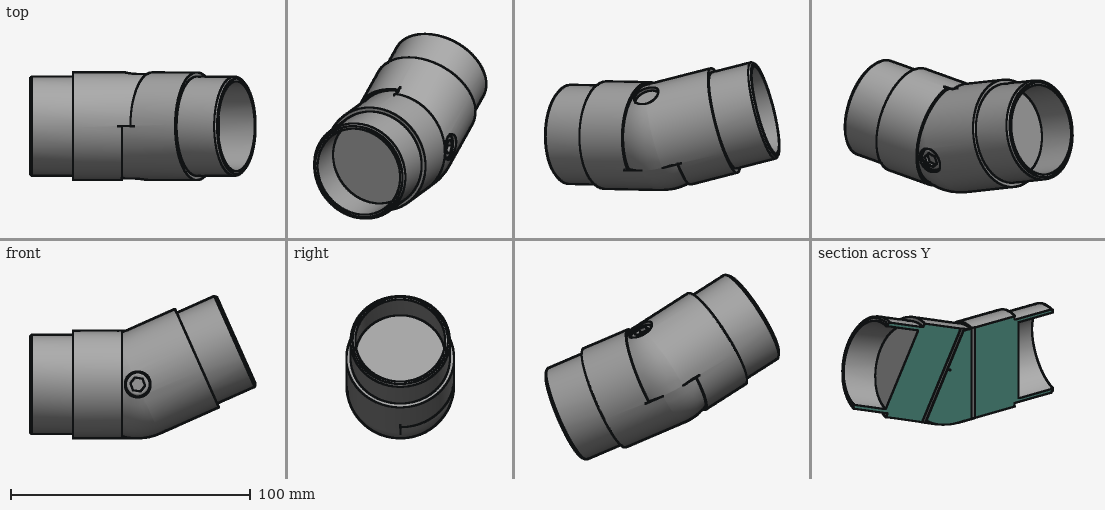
import cadquery as cq
import math

BEND_ANGLE = 24.0
HALF_LENGTH = 45.0
BODY_DIAMETER = 45.0
SPIGOT_DIAMETER = 41.5
SPIGOT_LENGTH = 18.0
SPIGOT_CHAMFER = 0.9
BORE_DIAMETER = 37.5
BORE_DEPTH = 16.2

SHOULDER_OFFSET = 6.65
SLIT_REACH = 8.2
SLIT_WIDTH = 0.1

RECESS_DIAMETER = 10.8
RECESS_FLOOR = 20.2
HEAD_DIAMETER = 10.0
HEAD_TOP = 21.5
HEAD_ROUNDING = 1.15
SOCKET_WIDTH = 5.4
SOCKET_DEPTH = 2.0
SOCKET_TURN = -9.0

BODY_RADIUS = BODY_DIAMETER / 2
SOCKET_CORNER_DIAMETER = SOCKET_WIDTH / math.cos(math.pi / 6)


def disc_along_x(diameter, start, length):
    return cq.Workplane("YZ", origin=(start, 0, 0)).circle(diameter / 2).extrude(length)


def box_spanning(x_range, y_range):
    """Box over the given X and Y ranges, taller than the body."""
    x_size = x_range[1] - x_range[0]
    y_size = y_range[1] - y_range[0]
    box = cq.Workplane("XY").box(x_size, y_size, 2 * BODY_DIAMETER, centered=(False, False, True))
    return box.translate((x_range[0], y_range[0], 0))


def disc_along_y(diameter, start, length):
    return cq.Workplane("XZ", origin=(0, start, 0)).circle(diameter / 2).extrude(-length)


def knuckle_dome():
    """Spherical end of the lap knuckle beyond the pivot, with its part of the screw recess."""
    recess_radius = RECESS_DIAMETER / 2
    rim_height = math.sqrt(BODY_RADIUS**2 - recess_radius**2)
    arc_middle = BODY_RADIUS * math.sqrt(0.5)
    profile = (
        cq.Workplane("YZ")
        .lineTo(0, BODY_RADIUS)
        .threePointArc((arc_middle, arc_middle), (rim_height, recess_radius))
        .lineTo(RECESS_FLOOR, recess_radius)
        .lineTo(RECESS_FLOOR, 0)
        .close()
    )
    return profile.revolve(180, (0, 0, 0), (1, 0, 0))


def tube_half():
    """Half lying along -X, with its lap knuckle on the +Y side."""
    spigot = disc_along_x(SPIGOT_DIAMETER, -HALF_LENGTH, SPIGOT_LENGTH)
    spigot = spigot.faces("<X").chamfer(SPIGOT_CHAMFER)
    body = disc_along_x(BODY_DIAMETER, SPIGOT_LENGTH - HALF_LENGTH, HALF_LENGTH - SPIGOT_LENGTH)

    lap_cut = box_spanning((-SHOULDER_OFFSET, BODY_RADIUS), (-BODY_RADIUS, 0))
    bore = disc_along_x(BORE_DIAMETER, -HALF_LENGTH, BORE_DEPTH)
    recess = disc_along_y(RECESS_DIAMETER, RECESS_FLOOR, BODY_RADIUS - RECESS_FLOOR)
    tube = spigot.union(body).cut(lap_cut).cut(bore).cut(recess)
    return tube.union(knuckle_dome(), clean=False)


def beyond_shoulder():
    """Space on the -Y side filled by the shoulder of the -X half."""
    return box_spanning((-HALF_LENGTH, -SHOULDER_OFFSET), (-BODY_RADIUS, 0))


def shoulder_slit():
    """Narrow relief where the lap plane runs on past the shoulder of the -X half."""
    return box_spanning((-SLIT_REACH, -SHOULDER_OFFSET), (-SLIT_WIDTH / 2, SLIT_WIDTH / 2))


def turned_to_mate(shape):
    """The same shape turned end for end about Z, then swung up by the bend angle."""
    turned = shape.rotate((0, 0, 0), (0, 0, 1), 180)
    return turned.rotate((0, 0, 0), (0, 1, 0), -BEND_ANGLE)


def screw_head():
    """Round-edged head standing on the recess floor of the -Y side."""
    head = disc_along_y(HEAD_DIAMETER, -HEAD_TOP, HEAD_TOP - RECESS_FLOOR)
    return head.faces("<Y").edges().fillet(HEAD_ROUNDING)


def hex_socket():
    """Hexagonal key recess, sunk from the top of the screw head."""
    socket = cq.Workplane("XZ", origin=(0, -HEAD_TOP, 0)).polygon(6, SOCKET_CORNER_DIAMETER)
    return socket.extrude(-SOCKET_DEPTH).rotate((0, 0, 0), (0, 1, 0), -SOCKET_TURN)


whole_half = tube_half()
lower_half = whole_half.cut(turned_to_mate(beyond_shoulder()), clean=False)
upper_half = turned_to_mate(whole_half).cut(beyond_shoulder(), clean=False)
elbow = lower_half.union(upper_half, clean=False)
for slit in (shoulder_slit(), turned_to_mate(shoulder_slit())):
    elbow = elbow.cut(slit, clean=False)
elbow = elbow.union(screw_head(), clean=False)
result = elbow.cut(hex_socket(), clean=False).solids()